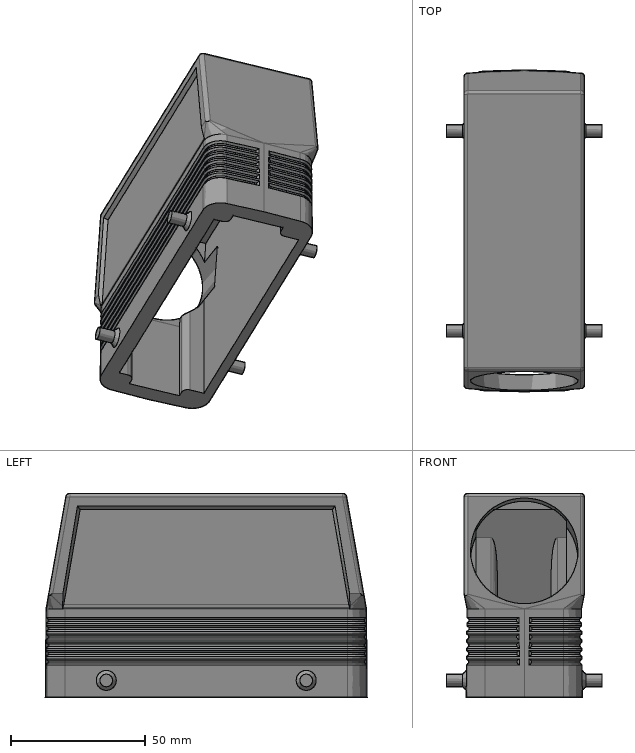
import cadquery as cq
import math

length = 120.0
skirt_half_length = length / 2
skirt_half_width = 21.65
skirt_corner_radius = 7.0
end_bulge = 0.4
skirt_draft = 0.5
skirt_height = 33.0

groove_count = 6
groove_base = 12.1
groove_step = 0.75
groove_depth = 0.75
groove_pitch = 3.1
end_rib_half_width = 1.6
end_rib_flare = 0.9

total_height = 76.0
hood_half_width = 22.5
hood_base = 38.8
end_slope = 10.0
hood_edge_radius = 1.5
hood_top_radius = 1.4
transition_corner_radius = 0.2

panel_depth = 1.4
panel_top = 71.3
panel_top_half_length = 48.0
panel_bottom = 28.6
panel_bottom_half_length = 55.1
panel_floor_top = 70.0
panel_floor_top_half_length = 47.0
panel_floor_bottom = 34.6
panel_floor_bottom_half_length = 53.1

end_wall = 6.0
cavity_height = 70.1
cavity_left = 18.0
cavity_right = 15.8
column_half_gap = 10.0
column_height = 59.5
column_edge_radius = 2.4

entry_diameter = 40.0
entry_depth = 7.0
entry_relief_depth = 19.5
entry_height = 54.6
entry_clearance = 5.0

peg_span = 58.0
peg_diameter = 4.7
peg_collar_diameter = 7.9
peg_collar_end = 23.0
peg_height = 6.3
peg_offset = 37.25

slope_run = math.tan(math.radians(end_slope))
draft_run = math.tan(math.radians(skirt_draft))
neck_half_length = skirt_half_length - skirt_height * draft_run
neck_half_width = skirt_half_width - skirt_height * draft_run


def hood_end(z):
    """Distance of the sloped hood end from the middle at height z."""
    return neck_half_length - (z - skirt_height) * slope_run


column_face = hood_end(column_height) - end_wall


def outline(z, half_width, tip, bulge, radius):
    """Closed plan outline at height z; its short ends rise by bulge to a point at tip."""
    shoulder = tip - bulge
    flat_x = half_width - radius
    flat_y = shoulder - radius
    mid = radius * math.sqrt(0.5)
    return (
        cq.Workplane("XY", origin=(0, 0, z))
        .moveTo(half_width, -flat_y)
        .lineTo(half_width, flat_y)
        .threePointArc((flat_x + mid, flat_y + mid), (flat_x, shoulder))
        .lineTo(0, tip)
        .lineTo(-flat_x, shoulder)
        .threePointArc((-flat_x - mid, flat_y + mid), (-half_width, flat_y))
        .lineTo(-half_width, -flat_y)
        .threePointArc((-flat_x - mid, -flat_y - mid), (-flat_x, -shoulder))
        .lineTo(0, -tip)
        .lineTo(flat_x, -shoulder)
        .threePointArc((flat_x + mid, -flat_y - mid), (half_width, -flat_y))
        .close()
        .wires()
        .val()
    )


def skirt_outline(z, inset=0.0):
    """Plan outline of the drafted skirt at height z, moved inward by inset."""
    shrink = z * draft_run + inset
    return outline(z, skirt_half_width - shrink, skirt_half_length - shrink,
                   end_bulge, skirt_corner_radius - shrink)


def ruled(lower, upper):
    """Solid with straight rulings between two matching outlines."""
    return cq.Workplane(cq.Solid.makeLoft([lower, upper], True))


def yz_prism(points, x_start, x_end):
    return (cq.Workplane("YZ", origin=(x_start, 0, 0))
            .polyline(points).close().extrude(x_end - x_start))


def box(x_range, y_range, z_range):
    return cq.Workplane(cq.Solid.makeBox(
        x_range[1] - x_range[0], y_range[1] - y_range[0], z_range[1] - z_range[0],
        cq.Vector(x_range[0], y_range[0], z_range[0])))


def end_ribs():
    """Full-height strips, flared inward, that stay ungrooved at both ends."""
    inner = skirt_half_length - end_bulge - 2 * groove_depth
    outer = skirt_half_length
    outer_half = end_rib_half_width
    inner_half = outer_half + end_rib_flare * (outer - inner) / groove_depth
    rib = (cq.Workplane("XY")
           .polyline([(-inner_half, inner), (inner_half, inner), (outer_half, outer), (-outer_half, outer)])
           .close().extrude(skirt_height))
    return rib.union(rib.mirror("XZ"))


def grooved_skirt():
    skirt = ruled(skirt_outline(0), skirt_outline(skirt_height))
    grooved = skirt
    for index in range(groove_count):
        z0 = groove_base + index * groove_pitch
        z1 = z0 + groove_step
        z2 = z1 + groove_step
        z3 = z2 + groove_step
        waist = ruled(skirt_outline(z0), skirt_outline(z1, groove_depth))
        waist = waist.union(ruled(skirt_outline(z1, groove_depth), skirt_outline(z2, groove_depth)))
        waist = waist.union(ruled(skirt_outline(z2, groove_depth), skirt_outline(z3)))
        slab = box((-length, length), (-length, length), (z0, z3))
        grooved = grooved.cut(slab).union(waist)
    return grooved.union(skirt.intersect(end_ribs()))


def hood():
    """Sloped-end hood whose foot tapers at the corners onto the rounded skirt."""
    block = yz_prism(
        [(-hood_end(skirt_height), skirt_height), (hood_end(skirt_height), skirt_height),
         (hood_end(total_height), total_height), (-hood_end(total_height), total_height)],
        -hood_half_width, hood_half_width)
    block = block.edges("not(|X or |Y)").fillet(hood_edge_radius)
    block = block.faces(">Z").edges().fillet(hood_top_radius)
    foot_bulge = end_bulge * hood_half_width / (neck_half_width - skirt_corner_radius)
    foot = ruled(
        skirt_outline(skirt_height),
        outline(hood_base, hood_half_width, hood_end(hood_base) + foot_bulge,
                foot_bulge, transition_corner_radius))
    above = box((-length, length), (-length, length), (hood_base, total_height))
    return block.intersect(above).union(block.intersect(foot))


def panel_recess():
    def trapezoid(x, bottom, bottom_half, top, top_half):
        return (cq.Workplane("YZ", origin=(x, 0, 0))
                .polyline([(-bottom_half, bottom), (bottom_half, bottom), (top_half, top), (-top_half, top)])
                .close().wires().val())

    return ruled(
        trapezoid(hood_half_width - panel_depth, panel_floor_bottom, panel_floor_bottom_half_length,
                  panel_floor_top, panel_floor_top_half_length),
        trapezoid(hood_half_width, panel_bottom, panel_bottom_half_length, panel_top, panel_top_half_length))


def cavity():
    """Interior open at the bottom, narrowed by a rounded column in each corner."""
    inner = [hood_end(z) - end_wall for z in (skirt_height, cavity_height)]
    space = yz_prism(
        [(-inner[0], 0), (inner[0], 0), (inner[0], skirt_height), (inner[1], cavity_height),
         (-inner[1], cavity_height), (-inner[0], skirt_height)],
        -cavity_left, cavity_right)
    for x_range in ((-hood_half_width, -column_half_gap), (column_half_gap, hood_half_width)):
        for y_range in ((-length, -column_face), (column_face, length)):
            column = box(x_range, y_range, (0, total_height))
            column = column.edges("|Z").fillet(column_edge_radius)
            space = space.cut(column)
    return space


def entry_bore(depth):
    angle = math.radians(end_slope)
    axis = cq.Vector(0, math.cos(angle), -math.sin(angle))
    rim = cq.Vector(0, -hood_end(entry_height), entry_height)
    return cq.Workplane(cq.Solid.makeCylinder(
        entry_diameter / 2, depth + entry_clearance, rim - axis * entry_clearance, axis))


def cable_entry():
    below_ceiling = box((-length, length), (-length, length), (0, cavity_height))
    return entry_bore(entry_depth).union(entry_bore(entry_relief_depth).intersect(below_ceiling))


def peg(side, y):
    root = cq.Vector(side * (cavity_left + skirt_half_width) / 2, y, peg_height)
    direction = cq.Vector(side, 0, 0)
    shaft = cq.Solid.makeCylinder(peg_diameter / 2, peg_span / 2 - abs(root.x), root, direction)
    collar_start = cq.Vector(side * neck_half_width, y, peg_height)
    collar = cq.Solid.makeCone(peg_collar_diameter / 2, peg_diameter / 2,
                               peg_collar_end - neck_half_width, collar_start, direction)
    return cq.Workplane(shaft).union(cq.Workplane(collar))


result = grooved_skirt().union(hood())
recess = panel_recess()
result = result.cut(recess).cut(recess.mirror("YZ"))
result = result.cut(cavity()).cut(cable_entry())
for peg_side in (-1, 1):
    for peg_y in (-peg_offset, peg_offset):
        result = result.union(peg(peg_side, peg_y))